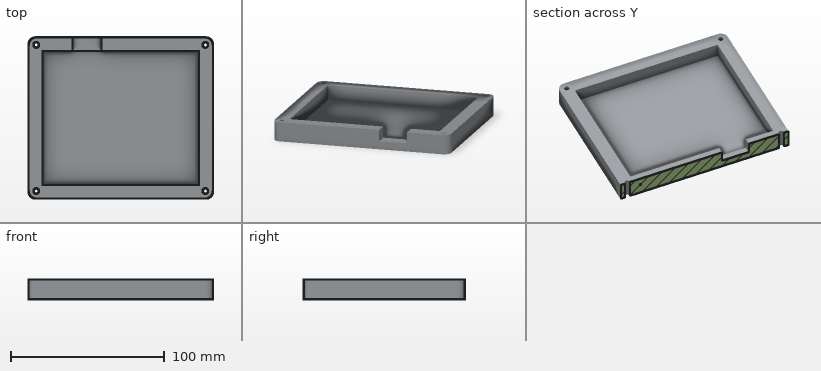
import cadquery as cq

LENGTH = 120.0
WIDTH = 105.0
HEIGHT = 13.0
CORNER_RADIUS = 5.0

WALL = 9.0
FLOOR = 3.0
CAVITY_LENGTH = LENGTH - 2 * WALL
CAVITY_WIDTH = WIDTH - 2 * WALL
CAVITY_DEPTH = HEIGHT - FLOOR

HOLE_DIAMETER = 3.4
HOLE_SPACING_X = LENGTH - 2 * CORNER_RADIUS
HOLE_SPACING_Y = WIDTH - 2 * CORNER_RADIUS

NOTCH_WIDTH = 19.0
NOTCH_DEPTH = 7.5
NOTCH_OFFSET = 28.5


def outer_block():
    """Plain block with rounded vertical corners, standing on Z = 0."""
    block = cq.Workplane("XY").box(LENGTH, WIDTH, HEIGHT, centered=(True, True, False))
    return block.edges("|Z").fillet(CORNER_RADIUS)


def cavity():
    """Square-cornered space between the floor and the rim."""
    space = cq.Workplane("XY").box(
        CAVITY_LENGTH, CAVITY_WIDTH, CAVITY_DEPTH, centered=(True, True, False)
    )
    return space.translate((0, 0, FLOOR))


def wall_notch():
    """Cable opening cut down from the rim, across the full +Y wall thickness."""
    opening = cq.Workplane("XY").box(NOTCH_WIDTH, WALL, NOTCH_DEPTH, centered=False)
    return opening.translate((NOTCH_OFFSET - LENGTH / 2, WIDTH / 2 - WALL, HEIGHT - NOTCH_DEPTH))


def corner_holes():
    """Four screw holes through the full height."""
    corners = cq.Workplane("XY").rect(HOLE_SPACING_X, HOLE_SPACING_Y, forConstruction=True).vertices()
    return corners.circle(HOLE_DIAMETER / 2).extrude(HEIGHT)


result = outer_block().cut(cavity()).cut(wall_notch()).cut(corner_holes())